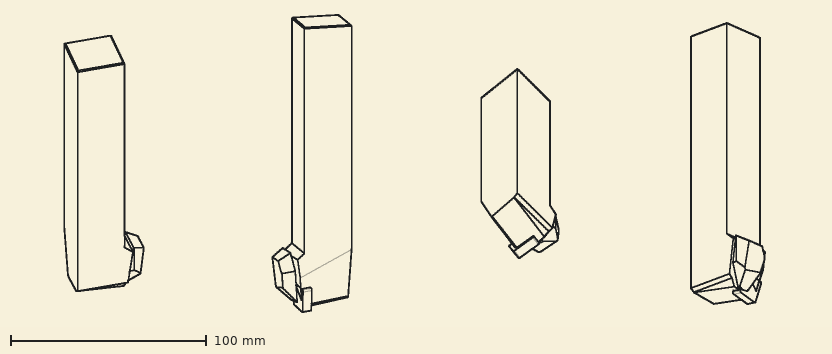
import cadquery as cq
import math

SHANK = 25.0
TOP_Z = 150.0
END_BEVEL = 0.6

HEAD_START_Z = 31.6
HEAD_REACH = 6.6
HEAD_SLOPE = 0.88

RAKE_Y = 24.6
RAKE_SLOPE_X = 0.04
RAKE_SLOPE_Z = 0.14

SIDE_RELIEF = [(0, 0, 32.5), (0, 27.1, 19.2), (6.9, 0, 6.5)]
END_RELIEF = [(7.6, 0, 5.5), (22.8, 0, 7.0), (7.6, 25.5, 2.1)]
NOSE_RELIEF = [(6.9, 0, 6.5), (7.6, 0, 5.5), (5.0, 24.7, 2.8)]
CORNER_CUT = [(20.2, 3.1), (22.8, 7.2), (SHANK, 8.7)]

CLAMP_GAP = 0.5
CLAMP_HEIGHT = 7.5
CLAMP_OUTLINE = [(6.0, 30.7), (6.0, 2.2), (18.0, 3.7), (23.8, 15.0), (23.8, 30.7)]
CLAMP_TOP_SLOPE = [(0, 30.3, 29.5), (SHANK, 30.3, 29.5), (0, 36.1, 26.1)]
CLAMP_NOSE_SLOPE = [(8.4, 34.3, 12.6), (9.7, 28.3, 6.3), (18.0, 34.8, 11.1)]
CLAMP_UPPER_SIDE = [(10.3, 30.3, 29.5), (10.3, 36.1, 26.1), (6.3, 29.7, 21.0)]
CLAMP_LOWER_SIDE = [(6.3, 29.7, 21.0), (7.5, 35.8, 19.8), (9.9, 27.9, 7.5)]
CLAMP_RIGHT_SLOPE = [(23.8, 30.6, 0), (20.7, 36.6, 0), (23.8, 30.6, 30)]
CLAMP_LEFT_BEVEL = [(7.3, 35.1, 20.5), (10.3, 36.1, 20.5), (10.6, 33.5, 8.5)]
SEAT_SIZE = 9.0
SEAT_CENTRE = (15.0, 19.5)

INSERT_TIP = (3.6, 25.0, -0.07)
INSERT_EDGE = 13.2
INSERT_CORNER = 100.0
INSERT_LEAN = 7.0
INSERT_THICKNESS = 4.8
INSERT_RADIUS = 0.7
INSERT_SLOPE_X = 0.09
INSERT_SLOPE_Z = 0.09

REACH = 300.0


def trim(body, face_points, outward):
    """Remove what lies beyond the plane through three points, on its outward side."""
    a, b, c = [cq.Vector(*point) for point in face_points]
    normal = (b - a).cross(c - a)
    if normal.dot(cq.Vector(*outward)) < 0:
        normal = normal * -1
    waste = cq.Workplane(cq.Plane(a, normal=normal)).rect(REACH, REACH).extrude(REACH)
    return body.cut(waste)


def rake_points(height):
    """Three points of the plane lying `height` in Y above the rake face."""
    return [
        (x, RAKE_Y + height + RAKE_SLOPE_X * x + RAKE_SLOPE_Z * z, z)
        for x, z in [(0, 0), (SHANK, 0), (0, HEAD_START_Z)]
    ]


def make_bar():
    head_y = SHANK + HEAD_REACH
    profile = [
        (0, 0), (0, TOP_Z), (SHANK, TOP_Z), (SHANK, HEAD_START_Z),
        (head_y, HEAD_START_Z - HEAD_SLOPE * HEAD_REACH), (head_y, 0),
    ]
    bar = cq.Workplane("YZ").polyline(profile).close().extrude(SHANK)
    bar = bar.faces(">Z").chamfer(END_BEVEL)
    bar = trim(bar, rake_points(0), (0, 1, 0))
    bar = trim(bar, SIDE_RELIEF, (-1, 0, 0))
    bar = trim(bar, END_RELIEF, (0, 0, -1))
    bar = trim(bar, NOSE_RELIEF, (-1, 0, -1))
    corner = [*CORNER_CUT, (SHANK, 0), (CORNER_CUT[0][0], 0)]
    waste = cq.Workplane("XZ").polyline(corner).close().extrude(-REACH)
    return bar.cut(waste)


def make_clamp():
    clamp = cq.Workplane("XZ").polyline(CLAMP_OUTLINE).close().extrude(-REACH)
    clamp = trim(clamp, rake_points(CLAMP_HEIGHT), (0, 1, 0))
    clamp = trim(clamp, rake_points(CLAMP_GAP), (0, -1, 0))
    clamp = trim(clamp, CLAMP_TOP_SLOPE, (0, 0, 1))
    clamp = trim(clamp, CLAMP_NOSE_SLOPE, (0, 0, -1))
    clamp = trim(clamp, CLAMP_RIGHT_SLOPE, (1, 0, 0))
    clamp = trim(clamp, CLAMP_UPPER_SIDE, (-1, 0, 0))
    clamp = trim(clamp, CLAMP_LOWER_SIDE, (-1, 0, 0))
    return trim(clamp, CLAMP_LEFT_BEVEL, (-1, 1, 0))


def make_clamp_seat():
    """Block that carries the clamp clear of the rake face."""
    x, z = SEAT_CENTRE
    seat = cq.Workplane("XZ").center(x, z).rect(SEAT_SIZE, SEAT_SIZE).extrude(-REACH)
    seat = trim(seat, rake_points(CLAMP_GAP), (0, 1, 0))
    return trim(seat, rake_points(0), (0, -1, 0))


def make_insert():
    plane = cq.Plane(
        INSERT_TIP,
        xDir=(-1, -INSERT_SLOPE_X, 0),
        normal=(-INSERT_SLOPE_X, 1, -INSERT_SLOPE_Z),
    )
    lower = math.radians(180 - INSERT_LEAN)
    side = lower - math.radians(INSERT_CORNER)
    low = (INSERT_EDGE * math.cos(lower), INSERT_EDGE * math.sin(lower))
    high = (INSERT_EDGE * math.cos(side), INSERT_EDGE * math.sin(side))
    far = (low[0] + high[0], low[1] + high[1])
    plate = cq.Workplane(plane).polyline([(0, 0), low, far, high]).close().extrude(-INSERT_THICKNESS)
    edges = cq.selectors.ParallelDirSelector(plane.zDir)
    return plate.edges(edges).fillet(INSERT_RADIUS)


insert = make_insert()
holder = make_bar().union(make_clamp_seat()).union(make_clamp()).cut(insert)

result = cq.Compound.makeCompound([holder.val(), insert.val()])